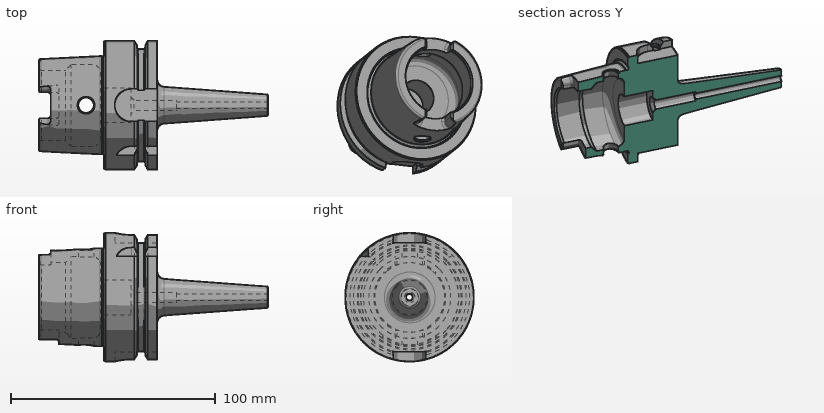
import cadquery as cq
import math


total_length = 112.0
shank_length = 31.8
flange_length = 26.1
flange_end = shank_length + flange_length

gauge_radius = 48.0 / 2
taper_length = 29.8
taper_per_length = 1 / 20
taper_end_radius = gauge_radius - taper_length * taper_per_length
shank_end_round = 1.1
collar_end = 30.8
neck_x = 31.1
neck_radius = 23.9
neck_round = 1.2
face_groove_outer_radius = 25.6

flange_radius = 63.0 / 2
front_chamfer_length = 0.8
front_chamfer_height = 0.5
rear_chamfer_length = 0.3
rear_chamfer_height = 0.1
groove_floor_radius = 27.5
groove_wall_radius = 29.2
groove_floor_start = 48.0
groove_floor_end = 51.9
groove_flank_length = 1.5
groove_corner_round = 0.6

nose_root_x = 60.7
nose_root_radius = 9.1
nose_tip_radius = 5.3
nose_tip_round = 1.0
nose_root_round = 3.4

entry_radius = 34.0 / 2
entry_chamfer_height = 0.6
entry_chamfer_length = 1.1
clamp_radius = 40.0 / 2
clamp_shoulder_x = 12.9
clamp_cone_length = 2.8
clamp_floor_x = 30.0
clamp_floor_round = 4.0

tube_bore_radius = 16.9 / 2
tube_bore_end = 44.8
countersink_radius = 8.4 / 2
coolant_radius = 5.0 / 2
countersink_end = tube_bore_end + countersink_radius - coolant_radius
coolant_end = 67.2
through_radius = 3.1 / 2

cross_hole_radius = 7.5 / 2
cross_hole_x = 23.1
cross_hole_chamfer = 0.5

slot_half_width = 6.3
slot_depth_top = 5.8
slot_depth_bottom = 9.9
slot_floor_round = 1.3
slot_lip_round = 2.8
slot_lip_z = 17.9
slot_lead_in_width = 1.0
slot_lead_in_depth = 0.5

key_radius = 8.0
key_end_x = 45.0
key_floor_z = 26.5
notch_wall_y = -20.0
notch_floor_z = 19.9

pick_margin = 0.06

diagonal = math.sin(math.pi / 4)


def make_body():
    """Turned outer shape, from the shank end to the nose tip."""
    flank_start = groove_floor_start - groove_flank_length
    flank_end = groove_floor_end + groove_flank_length
    nose_slope = (nose_root_radius - nose_tip_radius) / (total_length - nose_root_x)
    nose_flange_radius = nose_root_radius + nose_slope * (nose_root_x - flange_end)
    outline = (
        cq.Workplane("XY")
        .moveTo(0, 0)
        .lineTo(0, taper_end_radius)
        .lineTo(taper_length, gauge_radius)
        .lineTo(collar_end, gauge_radius)
        .lineTo(neck_x, neck_radius)
        .threePointArc(
            (neck_x + neck_round * diagonal, neck_radius + neck_round * (1 - diagonal)),
            (neck_x + neck_round, neck_radius + neck_round),
        )
        .lineTo(shank_length, face_groove_outer_radius)
        .lineTo(shank_length, flange_radius - front_chamfer_height)
        .lineTo(shank_length + front_chamfer_length, flange_radius)
        .lineTo(flank_start, flange_radius)
        .lineTo(groove_floor_start, groove_wall_radius)
        .lineTo(groove_floor_start, groove_floor_radius)
        .lineTo(groove_floor_end, groove_floor_radius)
        .lineTo(groove_floor_end, groove_wall_radius)
        .lineTo(flank_end, flange_radius)
        .lineTo(flange_end - rear_chamfer_length, flange_radius)
        .lineTo(flange_end, flange_radius - rear_chamfer_height)
        .lineTo(flange_end, nose_flange_radius)
        .lineTo(total_length, nose_tip_radius)
        .lineTo(total_length, 0)
        .close()
    )
    body = outline.revolve(360, (0, 0, 0), (1, 0, 0))
    body = round_circle(body, 0, taper_end_radius, shank_end_round)
    body = round_circle(body, groove_floor_start, groove_floor_radius, groove_corner_round)
    body = round_circle(body, groove_floor_end, groove_floor_radius, groove_corner_round)
    body = round_circle(body, flange_end, nose_flange_radius, nose_root_round)
    return round_circle(body, total_length, nose_tip_radius, nose_tip_round)


def round_circle(solid, x, radius, round_radius):
    """Fillet the circular edge of the given radius that is centred on the axis at x."""
    ring = cq.selectors.BoxSelector(
        (x - pick_margin, -radius - pick_margin, -radius - pick_margin),
        (x + pick_margin, radius + pick_margin, radius + pick_margin),
        boundingbox=True,
    )
    inner = radius - pick_margin
    core = cq.selectors.BoxSelector(
        (x - pick_margin, -inner, -inner), (x + pick_margin, inner, inner), boundingbox=True
    )
    return solid.edges(ring - core).fillet(round_radius)


def make_shank_bore():
    outline = (
        cq.Workplane("XY")
        .moveTo(0, 0)
        .lineTo(0, entry_radius + entry_chamfer_height)
        .lineTo(entry_chamfer_length, entry_radius)
        .lineTo(clamp_shoulder_x, entry_radius)
        .lineTo(clamp_shoulder_x + clamp_cone_length, clamp_radius)
        .lineTo(clamp_floor_x, clamp_radius)
        .lineTo(clamp_floor_x, 0)
        .close()
    )
    bore = outline.revolve(360, (0, 0, 0), (1, 0, 0))
    return round_circle(bore, clamp_floor_x, clamp_radius, clamp_floor_round)


def make_axial_bores():
    return (
        cq.Workplane("XY")
        .moveTo(clamp_floor_x, 0)
        .lineTo(clamp_floor_x, tube_bore_radius)
        .lineTo(tube_bore_end, tube_bore_radius)
        .lineTo(tube_bore_end, countersink_radius)
        .lineTo(countersink_end, coolant_radius)
        .lineTo(coolant_end, coolant_radius)
        .lineTo(coolant_end, through_radius)
        .lineTo(total_length, through_radius)
        .lineTo(total_length, 0)
        .close()
        .revolve(360, (0, 0, 0), (1, 0, 0))
    )


def make_cross_hole(side):
    """Radial hole through the shank wall, chamfered where it meets the taper."""
    wall_radius = taper_end_radius + cross_hole_x * taper_per_length
    wide_radius = cross_hole_radius + cross_hole_chamfer
    rim_z = math.sqrt(wall_radius**2 - wide_radius**2)
    hole = (
        cq.Workplane("XZ")
        .lineTo(cross_hole_radius, 0)
        .lineTo(cross_hole_radius, rim_z - cross_hole_chamfer)
        .lineTo(wide_radius, rim_z)
        .lineTo(wide_radius, flange_radius)
        .lineTo(0, flange_radius)
        .close()
        .revolve(360, (0, 0, 0), (0, 1, 0))
        .translate((cross_hole_x, 0, 0))
    )
    return hole if side > 0 else hole.mirror("XY")


def make_drive_slot(depth, side):
    """Slot across the shank end whose walls roll outward in a convex lip."""
    lip_top = slot_lip_z + slot_lip_round
    lip_end = slot_half_width + slot_lip_round
    lip_middle_y = lip_end - slot_lip_round * diagonal
    lip_middle_z = slot_lip_z + slot_lip_round * diagonal
    slot = (
        cq.Workplane("YZ")
        .moveTo(-slot_half_width, 0)
        .lineTo(slot_half_width, 0)
        .lineTo(slot_half_width, slot_lip_z)
        .threePointArc((lip_middle_y, lip_middle_z), (lip_end, lip_top))
        .lineTo(flange_radius, lip_top)
        .lineTo(flange_radius, flange_radius)
        .lineTo(-flange_radius, flange_radius)
        .lineTo(-flange_radius, lip_top)
        .lineTo(-lip_end, lip_top)
        .threePointArc((-lip_middle_y, lip_middle_z), (-slot_half_width, slot_lip_z))
        .close()
        .extrude(depth)
    )
    wall_floor_edges = cq.selectors.BoxSelector(
        (depth - pick_margin, -flange_radius + pick_margin, pick_margin),
        (depth + pick_margin, flange_radius - pick_margin, flange_radius - pick_margin),
    )
    slot = slot.edges(wall_floor_edges).fillet(slot_floor_round)
    lead_in = (
        cq.Workplane("XY")
        .moveTo(0, -slot_half_width - slot_lead_in_width)
        .lineTo(slot_lead_in_depth, -slot_half_width)
        .lineTo(slot_lead_in_depth, slot_half_width)
        .lineTo(0, slot_half_width + slot_lead_in_width)
        .close()
        .extrude(flange_radius)
    )
    slot = slot.union(lead_in)
    return slot if side > 0 else slot.mirror("XY")


def make_round_ended_cut(center_y, floor_z):
    """Milled cut along X with a round front end, open at the rear of the flange."""
    height = flange_radius - floor_z
    round_end = cq.Workplane("XY").center(key_end_x, center_y).circle(key_radius).extrude(height)
    straight = (
        cq.Workplane("XY")
        .center(key_end_x, center_y)
        .rect(flange_end - key_end_x, 2 * key_radius, centered=(False, True))
        .extrude(height)
    )
    return round_end.union(straight).translate((0, 0, floor_z))


result = make_body().cut(make_shank_bore()).cut(make_axial_bores())

for side, slot_depth in ((1, slot_depth_top), (-1, slot_depth_bottom)):
    result = result.cut(make_drive_slot(slot_depth, side))
    result = result.cut(make_cross_hole(side))

keyway = make_round_ended_cut(0, key_floor_z)
result = result.cut(keyway).cut(keyway.mirror("XY"))
result = result.cut(make_round_ended_cut(notch_wall_y - key_radius, notch_floor_z))